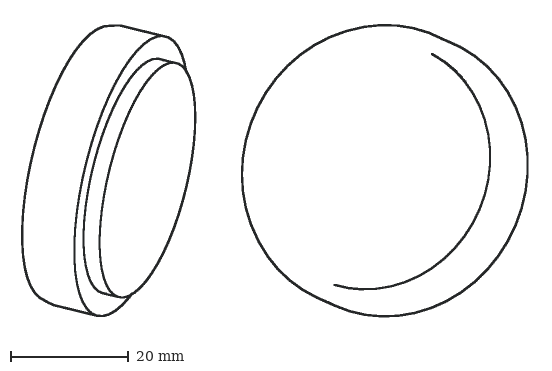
import cadquery as cq
import math

outer_radius = 24.45
flange_thickness = 10.02
plug_radius = 41.0 / 2
plug_length = 3.0

taper_length = 2.0
taper_angle = math.radians(15)
rim_round = 0.5

groove_outer_radius = 21.35
groove_inner_radius = 17.5
groove_bottom_radius = 19.35
groove_depth = 4.2
groove_lip_round = 0.5
centre_depth = 3.25
centre_edge_round = 1.0
centre_flat_radius = 16.8

total_length = flange_thickness + plug_length
rim_radius = outer_radius - taper_length * math.tan(taper_angle)


def round_point(center_x, center_r, radius, angle):
    """Point on a rounded edge; angle is measured from +X toward +radius."""
    return (center_x + radius * math.cos(angle), center_r + radius * math.sin(angle))


rim_tangent_angle = math.pi / 2 + taper_angle
rim_center_r = (
    rim_radius + rim_round * math.tan(taper_angle) - rim_round / math.cos(taper_angle)
)
rim_middle_angle = (rim_tangent_angle + math.pi) / 2
rim_side = round_point(rim_round, rim_center_r, rim_round, rim_tangent_angle)
rim_middle = round_point(rim_round, rim_center_r, rim_round, rim_middle_angle)

lip_center_r = groove_outer_radius + groove_lip_round
lip_middle = round_point(groove_lip_round, lip_center_r, groove_lip_round, math.radians(225))

edge_center_depth = centre_depth + centre_edge_round
edge_slope = math.asin((groove_inner_radius - centre_flat_radius) / centre_edge_round)
edge_middle = round_point(
    edge_center_depth, centre_flat_radius, centre_edge_round, math.pi - edge_slope / 2
)
edge_end = round_point(
    edge_center_depth, centre_flat_radius, centre_edge_round, math.pi - edge_slope
)
edge_direction = (math.sin(edge_slope), math.cos(edge_slope))

result = (
    cq.Workplane("XY")
    .moveTo(centre_depth, 0)
    .lineTo(centre_depth, centre_flat_radius)
    .threePointArc(edge_middle, edge_end)
    .spline(
        [(groove_depth, groove_bottom_radius), (groove_lip_round, groove_outer_radius)],
        tangents=[edge_direction, (-1, 0)],
        includeCurrent=True,
    )
    .threePointArc(lip_middle, (0, lip_center_r))
    .lineTo(0, rim_center_r)
    .threePointArc(rim_middle, rim_side)
    .lineTo(taper_length, outer_radius)
    .lineTo(flange_thickness, outer_radius)
    .lineTo(flange_thickness, plug_radius)
    .lineTo(total_length, plug_radius)
    .lineTo(total_length, 0)
    .close()
    .revolve(360, (0, 0, 0), (1, 0, 0))
)